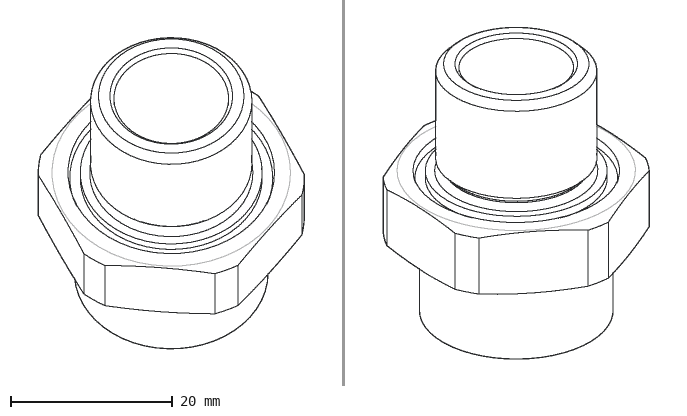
import cadquery as cq
import math

total_height = 35.3
hex_bottom = 10.35
hex_top = 20.0

across_flats = 30.0
corner_radius = 16.5
top_face_radius = 14.75
hex_chamfer_angle = 15.0

spigot_radius = 12.0
bore_radius = 7.1
bore_chamfer = 0.5

stub_radius = 10.0
stub_chamfer = 1.0
undercut_radius = stub_radius - stub_chamfer
undercut_top = 20.85
undercut_bottom = 20.65
undercut_foot_radius = undercut_radius + (undercut_bottom - hex_top) * math.sqrt(3)

groove_inner_radius = 11.25
groove_mouth_radius = 12.78
groove_floor_radius = 12.55
groove_depth = 1.1


def revolve_profile(points):
    """Revolve a closed (radius, height) outline about the Z axis."""
    return cq.Workplane("XZ").polyline(points).close().revolve(360, (0, 0), (0, 1))


def hex_collar():
    """Hexagon with flats facing +/-X, rounded corners and conical faces."""
    corner_diameter = across_flats / math.cos(math.radians(30))
    prism = (
        cq.Workplane("XY")
        .workplane(offset=hex_bottom)
        .transformed(rotate=(0, 0, 30))
        .polygon(6, corner_diameter)
        .extrude(hex_top - hex_bottom)
    )
    slope = math.tan(math.radians(hex_chamfer_angle))
    envelope = revolve_profile([
        (0, hex_bottom),
        (spigot_radius, hex_bottom),
        (corner_radius, hex_bottom + (corner_radius - spigot_radius) * slope),
        (corner_radius, hex_top - (corner_radius - top_face_radius) * slope),
        (top_face_radius, hex_top),
        (0, hex_top),
    ])
    return prism.intersect(envelope)


def upper_stub():
    """Chamfered cylinder narrowing to a V-shaped undercut above the hexagon."""
    return revolve_profile([
        (0, hex_bottom),
        (undercut_radius, hex_bottom),
        (undercut_foot_radius, hex_top),
        (undercut_radius, undercut_bottom),
        (undercut_radius, undercut_top),
        (stub_radius, undercut_top + stub_chamfer),
        (stub_radius, total_height - stub_chamfer),
        (stub_radius - stub_chamfer, total_height),
        (0, total_height),
    ])


def seal_groove():
    """Ring-shaped recess whose outer wall leans inward toward the floor."""
    floor = hex_top - groove_depth
    return revolve_profile([
        (groove_inner_radius, floor),
        (groove_floor_radius, floor),
        (groove_mouth_radius, hex_top),
        (groove_inner_radius, hex_top),
    ])


def bore():
    """Through bore with a chamfered mouth at the top."""
    return revolve_profile([
        (0, 0),
        (bore_radius, 0),
        (bore_radius, total_height - bore_chamfer),
        (bore_radius + bore_chamfer, total_height),
        (0, total_height),
    ])


spigot = cq.Workplane("XY").circle(spigot_radius).extrude(hex_bottom)
body = hex_collar().union(spigot).union(upper_stub())
result = body.cut(seal_groove()).cut(bore())